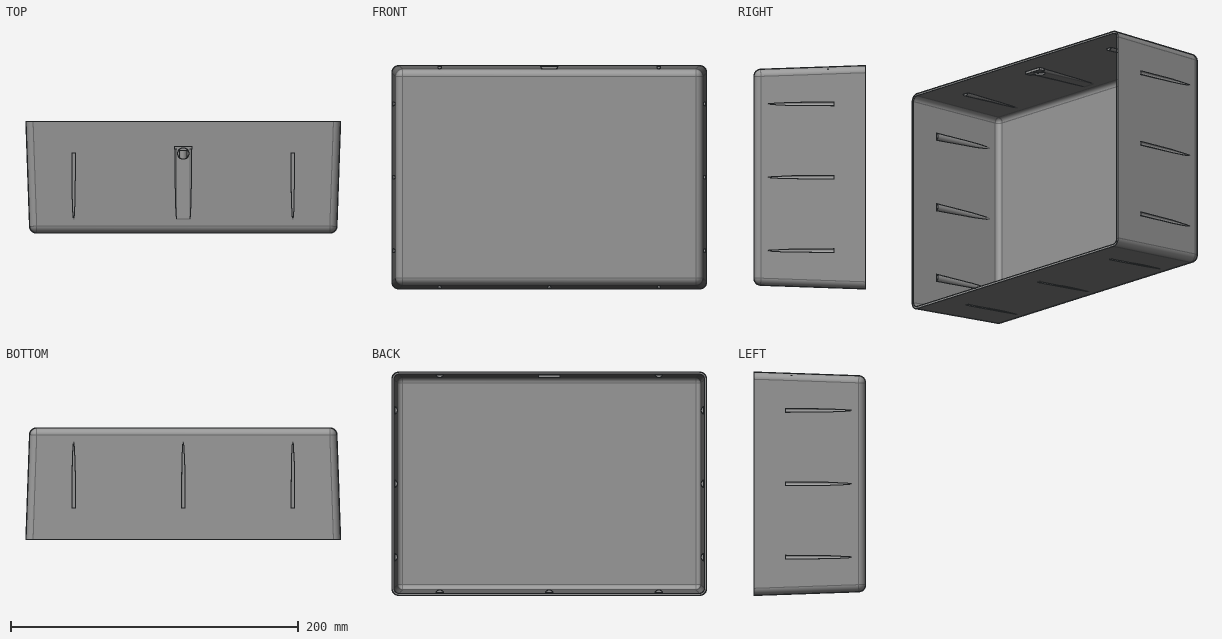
import cadquery as cq
import math

LENGTH = 218.7
HEIGHT = 155.3
DEPTH = 77.6
DRAFT = 2.0
OUTER_RADIUS = 5.0
WALL = 1.5

GROOVE_RADIUS = 1.3
GROOVE_START = 21.9
FADE_OUT = 67.8
GROOVE_X = 76.0
GROOVE_Z = 51.0

SLOT_FLAT = 9.2
SLOT_EDGE_RADIUS = 1.0
HEAD_START = 17.5
HEAD_LENGTH = 1.5
HEAD_WIDTH = 11.8
HOLE_DIAMETER = 7.9
HOLE_FROM_RIM = 22.3

inset_at_fade = FADE_OUT * math.tan(math.radians(DRAFT))
groove_bottom_x = LENGTH / 2 - inset_at_fade
slot_floor_z = HEIGHT / 2 - inset_at_fade


def drafted_block(length, height, depth, radius):
    """Block tapering from the rim toward -Y, rounded except around the rim."""
    block = cq.Workplane("XZ").rect(length, height).extrude(depth, taper=DRAFT)
    return block.edges("not >Y").fillet(radius)


def groove_centres():
    """X, Z positions of the groove axes around the four walls."""
    axis_x = groove_bottom_x + GROOVE_RADIUS
    axis_z = slot_floor_z + GROOVE_RADIUS
    top = [(x, axis_z) for x in (-GROOVE_X, GROOVE_X)]
    bottom = [(x, -axis_z) for x in (-GROOVE_X, 0, GROOVE_X)]
    ends = [(side * axis_x, z) for side in (-1, 1) for z in (-GROOVE_Z, 0, GROOVE_Z)]
    return top + bottom + ends


def groove_rods(radius, start):
    """Rods along Y on every groove axis, from a distance below the rim to the floor."""
    plane = cq.Workplane("XZ", origin=(0, -start, 0))
    return plane.pushPoints(groove_centres()).circle(radius).extrude(DEPTH - start)


def slot_block(clearance):
    """Slot and head as a solid, grown by the clearance on every side but the top."""
    radius = SLOT_EDGE_RADIUS + clearance
    start = HEAD_START - clearance
    head_length = HEAD_LENGTH + 2 * clearance
    bottom_z = slot_floor_z - clearance
    height = HEIGHT / 2 + radius - bottom_z
    plane = cq.Workplane("XZ", origin=(0, -start, bottom_z + height / 2))
    slot = plane.rect(SLOT_FLAT + 2 * radius, height).extrude(DEPTH - start)
    slot = slot.edges("|Y and <Z").fillet(radius)
    head = plane.rect(HEAD_WIDTH + 2 * clearance, height).extrude(head_length)
    return slot.union(head)


cavity = drafted_block(LENGTH - 2 * WALL, HEIGHT - 2 * WALL, DEPTH - WALL, OUTER_RADIUS - WALL)
cavity = cavity.cut(groove_rods(GROOVE_RADIUS + WALL, GROOVE_START - WALL))
cavity = cavity.cut(slot_block(WALL))

hole = (
    cq.Workplane("XY", origin=(0, -HOLE_FROM_RIM, slot_floor_z - 2 * WALL))
    .circle(HOLE_DIAMETER / 2)
    .extrude(4 * WALL)
)

result = (
    drafted_block(LENGTH, HEIGHT, DEPTH, OUTER_RADIUS)
    .cut(cavity)
    .cut(groove_rods(GROOVE_RADIUS, GROOVE_START))
    .cut(slot_block(0))
    .cut(hole)
)